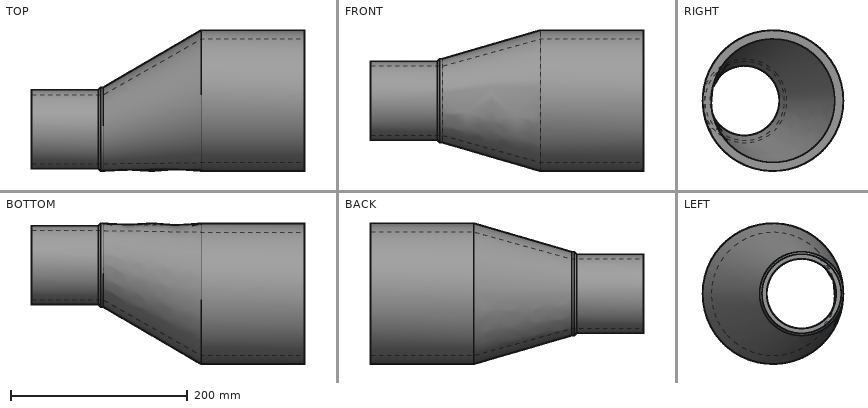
import cadquery as cq

total_length = 310.0
large_diameter = 160.0
small_diameter = 90.0
collar_diameter = 95.2
small_bore = 78.7
wall_ratio = small_bore / small_diameter
large_bore = large_diameter * wall_ratio

small_length = 76.0
bevel_length = 2.8
collar_length = 2.8
large_length = 117.5

offset_y = -(large_diameter - collar_diameter) / 2

bevel_end = small_length + bevel_length
collar_end = bevel_end + collar_length
large_start = total_length - large_length


def loft_x(x_start, diameter_start, y_start, x_end, diameter_end, y_end):
    """Solid between two circles lying in planes normal to X."""
    return (
        cq.Workplane("YZ", origin=(x_start, y_start, 0))
        .circle(diameter_start / 2)
        .workplane(offset=x_end - x_start)
        .center(y_end - y_start, 0)
        .circle(diameter_end / 2)
        .loft(ruled=True)
    )


def cylinder_x(x_start, x_end, diameter, y_center):
    """Solid cylinder along X."""
    return (
        cq.Workplane("YZ", origin=(x_start, y_center, 0))
        .circle(diameter / 2)
        .extrude(x_end - x_start)
    )


body = (
    cylinder_x(0, small_length, small_diameter, offset_y)
    .union(loft_x(small_length, small_diameter, offset_y, bevel_end, collar_diameter, offset_y))
    .union(cylinder_x(bevel_end, collar_end, collar_diameter, offset_y))
    .union(loft_x(collar_end, collar_diameter, offset_y, large_start, large_diameter, 0))
    .union(cylinder_x(large_start, total_length, large_diameter, 0))
)

passage = (
    cylinder_x(0, collar_end, small_bore, offset_y)
    .union(loft_x(collar_end, small_bore, offset_y, large_start, large_bore, 0))
    .union(cylinder_x(large_start, total_length, large_bore, 0))
)

result = body.cut(passage)